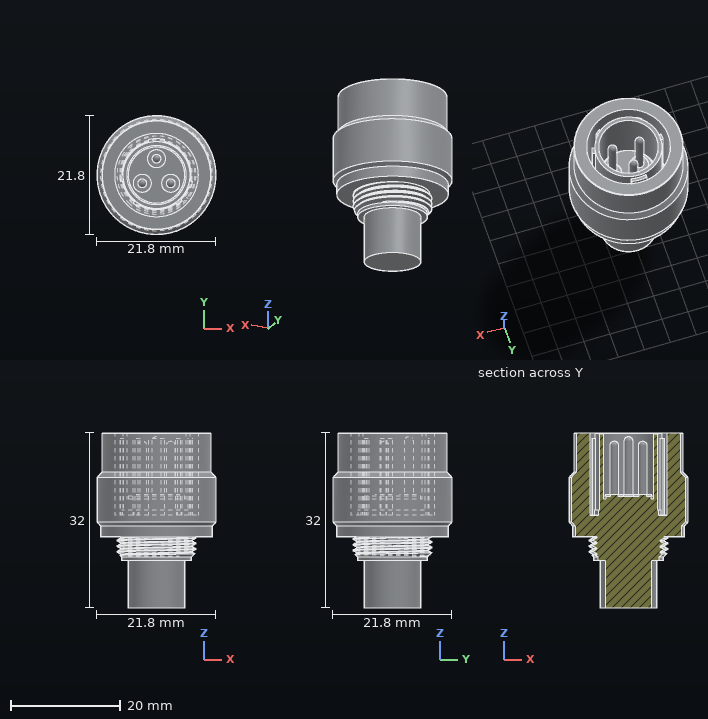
import cadquery as cq
import math


total_height = 32.05
collar_bottom_z = 8.7
thread_bottom_z = 9.35
ring_bottom_z = 13.05
ring_lower_chamfer_z = 15.0
ring_body_bottom_z = 15.75
ring_body_top_z = 23.95
ring_upper_chamfer_z = 24.9
shell_top_z = total_height - 0.1
key_top_z = 31.05

tail_radius = 5.2
collar_radius = 6.4
ring_lower_radius = 10.22
ring_body_radius = 10.9
ring_upper_radius = 10.0
rim_chamfer = 0.1
socket_radius = 7.65
socket_floor_z = 17.0

thread_pitch = 1.03
thread_major_radius = 7.2
thread_minor_radius = 6.55
thread_root_width = 0.14
thread_flank_angle = 30.0
thread_phase_z = 11.86
groove_overshoot = 0.1
thread_ring_overlap = 0.5

shell_outer_radius = 6.13
shell_bore_radius = 5.43
shell_base_radius = 6.33
shell_base_height = 1.0
bore_floor_z = 20.0
insert_radius = 5.14
insert_height = 0.5

key_tip_radius = 6.68
main_key_width = 2.87
minor_key_width = 1.12
minor_key_angles = (105, 140, 215, 265)

pin_radius = 0.8
pin_circle_radius = 3.0
pin_boss_radius = 1.65
pin_boss_height = 0.3
long_pin_tip_z = 31.38
short_pin_tip_z = 30.55
pins = ((90, long_pin_tip_z), (210, short_pin_tip_z), (330, short_pin_tip_z))


def cylinder(radius, bottom_z, top_z):
    return cq.Workplane("XY").workplane(offset=bottom_z).circle(radius).extrude(top_z - bottom_z)


def revolve_profile(points):
    """Revolve a closed outline of (radius, z) points about the Z axis."""
    return cq.Workplane("XZ").polyline(points).close().revolve(360, (0, 0, 0), (0, 1, 0))


def make_body():
    body = revolve_profile([
        (0, 0),
        (tail_radius, 0),
        (tail_radius, collar_bottom_z),
        (collar_radius, collar_bottom_z),
        (collar_radius, ring_bottom_z),
        (ring_lower_radius, ring_bottom_z),
        (ring_lower_radius, ring_lower_chamfer_z),
        (ring_body_radius, ring_body_bottom_z),
        (ring_body_radius, ring_body_top_z),
        (ring_upper_radius, ring_upper_chamfer_z),
        (ring_upper_radius, total_height - rim_chamfer),
        (ring_upper_radius - rim_chamfer, total_height),
        (0, total_height),
    ])
    return body.cut(cylinder(socket_radius, socket_floor_z, total_height))


def make_thread():
    """Neck with a 45 degree lead-in at the lower end and a helical groove cut around it."""
    top_z = ring_bottom_z + thread_ring_overlap
    neck = revolve_profile([
        (0, thread_bottom_z),
        (collar_radius, thread_bottom_z),
        (thread_major_radius, thread_bottom_z + thread_major_radius - collar_radius),
        (thread_major_radius, top_z),
        (0, top_z),
    ])

    turns_below = math.ceil((thread_phase_z - thread_bottom_z) / thread_pitch)
    start_z = thread_phase_z - (turns_below + 0.5) * thread_pitch
    helix_height = ring_bottom_z + thread_ring_overlap / 2 - start_z

    root_half = thread_root_width / 2
    outer_radius = thread_major_radius + groove_overshoot
    groove_depth = outer_radius - thread_minor_radius
    mouth_half = root_half + groove_depth * math.tan(math.radians(thread_flank_angle))

    path = cq.Wire.makeHelix(
        thread_pitch, helix_height, thread_minor_radius, center=cq.Vector(0, 0, start_z)
    )
    groove = (
        cq.Workplane("XZ")
        .polyline([
            (thread_minor_radius, start_z - root_half),
            (outer_radius, start_z - mouth_half),
            (outer_radius, start_z + mouth_half),
            (thread_minor_radius, start_z + root_half),
        ])
        .close()
        .sweep(cq.Workplane(path), isFrenet=True)
    )
    return neck.cut(groove)


def make_key(width, clockwise_angle):
    """Straight-sided key with a rounded tip concentric with the shell."""
    inner_radius = (shell_bore_radius + shell_outer_radius) / 2
    key = (
        cq.Workplane("XY")
        .workplane(offset=socket_floor_z)
        .center(0, (inner_radius + key_tip_radius) / 2)
        .rect(width, key_tip_radius - inner_radius)
        .extrude(key_top_z - socket_floor_z)
    )
    key = key.intersect(cylinder(key_tip_radius, socket_floor_z, key_top_z))
    return key.rotate((0, 0, 0), (0, 0, 1), -clockwise_angle)


def make_shell():
    shell = cylinder(shell_outer_radius, socket_floor_z, shell_top_z)
    shell = shell.union(cylinder(shell_base_radius, socket_floor_z, socket_floor_z + shell_base_height))
    shell = shell.union(make_key(main_key_width, 0))
    for angle in minor_key_angles:
        shell = shell.union(make_key(minor_key_width, angle))
    shell = shell.cut(cylinder(shell_bore_radius, bore_floor_z, shell_top_z))
    return shell.union(cylinder(insert_radius, bore_floor_z, bore_floor_z + insert_height))


def make_pin(angle, tip_z):
    """Round-ended pin standing on a low boss on the insert face."""
    face_z = bore_floor_z + insert_height
    dome_centre_z = tip_z - pin_radius
    pin = cylinder(pin_boss_radius, face_z, face_z + pin_boss_height)
    pin = pin.union(cylinder(pin_radius, face_z, dome_centre_z))
    pin = pin.union(cq.Workplane("XY").sphere(pin_radius).translate((0, 0, dome_centre_z)))
    x = pin_circle_radius * math.cos(math.radians(angle))
    y = pin_circle_radius * math.sin(math.radians(angle))
    return pin.translate((x, y, 0))


result = make_body().union(make_thread()).union(make_shell())
for pin_angle, pin_tip_z in pins:
    result = result.union(make_pin(pin_angle, pin_tip_z))